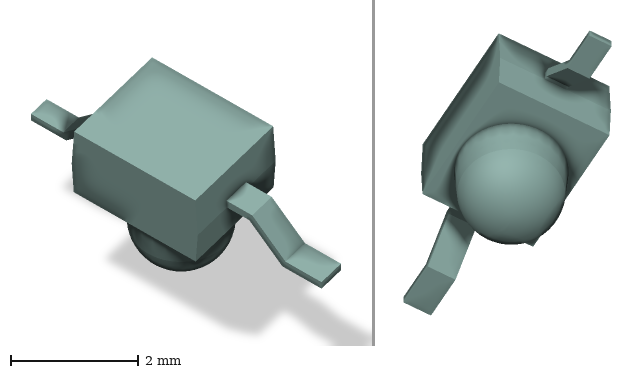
import cadquery as cq
import math

housing_waist_length = 2.5
housing_width = 2.0
housing_height = 1.41
parting_height = 0.64
end_draft_angle = 3.7
end_draft = math.tan(math.radians(end_draft_angle))

lens_center_x = 0.15
lens_root_radius = 0.9
lens_dome_radius = 0.85
stem_length = 0.65
lens_length = 1.39

lead_thickness = 0.15
lead_rise = 0.635
lead_slope_run = 0.66
narrow_lead_width = 0.4
narrow_lead_shoulder = 1.375
narrow_lead_tip = 2.675
wide_lead_width = 0.5
wide_lead_shoulder = 1.75
wide_lead_tip = 3.125


def make_housing():
    """Drafted block with the lens moulded on as one piece."""
    waist_x = housing_waist_length / 2
    top_x = waist_x - end_draft * (housing_height - parting_height)
    bottom_x = waist_x - end_draft * parting_height
    block = (
        cq.Workplane("XZ")
        .moveTo(-bottom_x, 0)
        .lineTo(bottom_x, 0)
        .lineTo(waist_x, parting_height)
        .lineTo(top_x, housing_height)
        .lineTo(-top_x, housing_height)
        .lineTo(-waist_x, parting_height)
        .close()
        .extrude(housing_width / 2, both=True)
    )
    return block.union(make_lens()).solids()


def make_lens():
    """Half profile of stem and spherical cap, revolved about the lens axis."""
    dome_depth = lens_length - stem_length
    sphere_radius = (lens_dome_radius**2 + dome_depth**2) / (2 * dome_depth)
    sphere_center_z = sphere_radius - lens_length
    half_angle = math.atan2(lens_dome_radius, sphere_center_z + stem_length) / 2
    arc_middle = (
        sphere_radius * math.sin(half_angle),
        sphere_center_z - sphere_radius * math.cos(half_angle),
    )
    return (
        cq.Workplane("XZ", origin=(lens_center_x, 0, 0))
        .moveTo(0, 0)
        .lineTo(lens_root_radius, 0)
        .lineTo(lens_dome_radius, -stem_length)
        .threePointArc(arc_middle, (0, -lens_length))
        .close()
        .revolve(360, (0, 0), (0, 1))
    )


def make_lead(side, shoulder, tip, width, housing):
    """Bent strip on one side (-1 or +1), trimmed where it meets the housing end face."""
    slope_angle = math.atan2(lead_rise, lead_slope_run)
    bend_shift = lead_thickness * math.tan(slope_angle / 2)
    foot = shoulder + lead_slope_run
    shoulder_top = lead_rise + lead_thickness
    outline = [
        (0, shoulder_top),
        (shoulder, shoulder_top),
        (foot, lead_thickness),
        (tip, lead_thickness),
        (tip, 0),
        (foot - bend_shift, 0),
        (shoulder - bend_shift, lead_rise),
        (0, lead_rise),
    ]
    strip = (
        cq.Workplane("XZ")
        .polyline([(side * x, z) for x, z in outline])
        .close()
        .extrude(width / 2, both=True)
    )
    return strip.cut(housing).solids()


housing = make_housing()
narrow_lead = make_lead(-1, narrow_lead_shoulder, narrow_lead_tip, narrow_lead_width, housing)
wide_lead = make_lead(1, wide_lead_shoulder, wide_lead_tip, wide_lead_width, housing)

result = cq.Compound.makeCompound([housing.val(), narrow_lead.val(), wide_lead.val()])